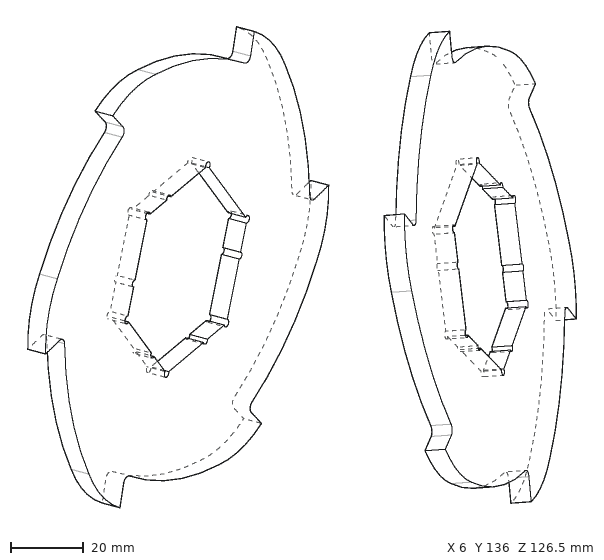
import cadquery as cq
import math

thickness = 6.0
tooth_count = 6
tooth_pitch = 360 / tooth_count
first_tip_angle = -1.7

tip_radius = 68.0
crest_mid_radius = 67.3
crest_mid_angle = 9.0
shoulder_radius = 65.0
shoulder_angle = 18.2
back_mid_radius = 60.6
back_mid_angle = 38.0
root_radius = 58.9
root_angle = tooth_pitch + 2.1
gullet_fillet = 1.9

hex_corner_radius = 29.2
hex_corner_angle = -10.2
corner_relief_radius = 1.1
notch_radius = 1.0
notch_fraction = 0.35
plain_side = 2


def polar(radius, angle):
    """Point in the disc plane at an angle in degrees."""
    return (radius * math.cos(math.radians(angle)), radius * math.sin(math.radians(angle)))


disc_plane = cq.Plane(origin=(thickness / 2, 0, 0), xDir=(0, -1, 0), normal=(-1, 0, 0))


def make_disc():
    """Toothed disc with rounded gullets."""
    outline = cq.Workplane(disc_plane).moveTo(*polar(tip_radius, first_tip_angle))
    for index in range(tooth_count):
        tip = first_tip_angle + index * tooth_pitch
        shoulder = polar(shoulder_radius, tip + shoulder_angle)
        root = polar(root_radius, tip + root_angle)
        outline = outline.threePointArc(polar(crest_mid_radius, tip + crest_mid_angle), shoulder)
        outline = outline.threePointArc(polar(back_mid_radius, tip + back_mid_angle), root)
        if index < tooth_count - 1:
            outline = outline.lineTo(*polar(tip_radius, tip + tooth_pitch))
    disc = outline.close().extrude(thickness)

    root_edge_limit = (root_radius + shoulder_radius) / 2
    root_edges = [
        edge for edge in disc.edges("|X").vals()
        if math.hypot(edge.Center().y, edge.Center().z) < root_edge_limit
    ]
    return disc.newObject(root_edges).fillet(gullet_fillet)


def make_bore():
    """Hexagonal prism with round corner reliefs and a small round notch on five sides."""
    corners = [
        polar(hex_corner_radius, hex_corner_angle + index * tooth_pitch)
        for index in range(tooth_count)
    ]
    notches = []
    for index, start in enumerate(corners):
        end = corners[(index + 1) % len(corners)]
        if index != plain_side:
            notches.append(tuple(a + notch_fraction * (b - a) for a, b in zip(start, end)))

    bore = cq.Workplane(disc_plane).polyline(corners).close().extrude(thickness)
    reliefs = cq.Workplane(disc_plane).pushPoints(corners).circle(corner_relief_radius).extrude(thickness)
    side_notches = cq.Workplane(disc_plane).pushPoints(notches).circle(notch_radius).extrude(thickness)
    return bore.union(reliefs).union(side_notches)


result = make_disc().cut(make_bore())